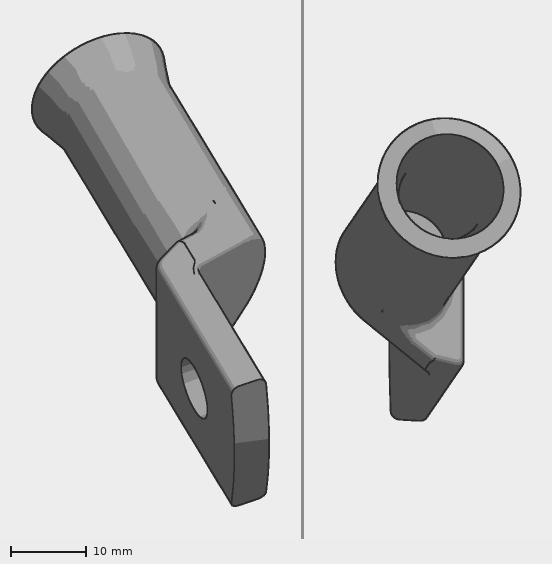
import cadquery as cq
import math

barrel_radius = 8.2
bore_radius = 5.85
bore_depth = 30.55
mouth_radius = 7.25
flare_radius = 9.7
rim_depth = 0.7
flare_end = 6.0
bore_flare_end = 5.4
flare_blend = 5.8
neck_start = 28.5

length = 67.9
palm_width = 23.8
palm_thickness = 5.1
palm_front = -10.5
palm_back = palm_front + palm_thickness
palm_end_sagitta = 1.2
hole_diameter = 8.5
hole_x = 54.9

slope = math.radians(60)
neck_back_x = 44.7
outer_bend_radius = 2.45
inner_bend_radius = 1.6
edge_radius = 1.2
barrel_blend_radius = 2.05
rim_split_y = 2.7

half_width = palm_width / 2
stock_reach = 17
palm_mid_x = (neck_back_x + length) / 2

side_corner_angle = math.atan2(half_width, palm_back)
side_corner_distance = math.hypot(half_width, palm_back)
tangent_angle = side_corner_angle - math.acos(barrel_radius / side_corner_distance)
shoulder_y = barrel_radius * math.cos(tangent_angle)
shoulder_z = barrel_radius * math.sin(tangent_angle)


def back_x(y):
    """X of the neck's sloping back plane at height y."""
    return neck_back_x - (y - palm_back) / math.tan(slope)


def front_x(y):
    """X of the neck's sloping front plane, one thickness ahead of the back."""
    return back_x(y) - palm_thickness / math.sin(slope)


def make_barrel():
    """Solid barrel, ending on a slope halfway through the neck's thickness."""
    top = barrel_radius
    half_neck = palm_thickness / 2 / math.sin(slope)
    keep = (
        cq.Workplane("XY")
        .polyline([
            (0, -top),
            (back_x(-top) - half_neck, -top),
            (back_x(top) - half_neck, top),
            (0, top),
        ])
        .close()
        .extrude(barrel_radius, both=True)
    )
    return cq.Workplane("YZ").circle(barrel_radius).extrude(length).intersect(keep)


def make_strap():
    """Bent strap forming neck and palm, oversize until trimmed."""
    return (
        cq.Workplane("XY")
        .polyline([
            (front_x(stock_reach), stock_reach),
            (front_x(palm_front), palm_front),
            (length, palm_front),
            (length, palm_back),
            (neck_back_x, palm_back),
            (back_x(stock_reach), stock_reach),
        ])
        .close()
        .extrude(stock_reach, both=True)
    )


def make_width_outline():
    """Barrel circle with tangent sides widening to the palm, extended along X from the neck start."""
    return (
        cq.Workplane("YZ", origin=(neck_start, 0, 0))
        .moveTo(palm_front, -half_width)
        .lineTo(palm_back, -half_width)
        .lineTo(shoulder_y, -shoulder_z)
        .threePointArc((barrel_radius, 0), (shoulder_y, shoulder_z))
        .lineTo(palm_back, half_width)
        .lineTo(palm_front, half_width)
        .close()
        .extrude(length)
    )


def make_end_outline():
    """Side outline with the arched palm end, extended along Y."""
    corner_x = length - palm_end_sagitta
    return (
        cq.Workplane("XZ")
        .moveTo(0, -half_width)
        .lineTo(corner_x, -half_width)
        .threePointArc((length, 0), (corner_x, half_width))
        .lineTo(0, half_width)
        .close()
        .extrude(length, both=True)
    )


def edge_near(shape, point):
    """The edge of a shape that passes closest to a point."""
    target = cq.Vertex.makeVertex(*point)
    return min(shape.Edges(), key=lambda edge: edge.distance(target))


def fillet_near(body, radius, *points):
    """Fillet the edges of a body that pass closest to the given points."""
    solid = body.val()
    return cq.Workplane(solid.fillet(radius, [edge_near(solid, point) for point in points]))


def both_sides(x, y, z):
    return [(x, y, -z), (x, y, z)]


def make_blank():
    """Barrel and strap blended together, then trimmed to the outlines."""
    blank = make_strap().union(make_barrel())
    blank = fillet_near(blank, outer_bend_radius, (front_x(palm_front), palm_front, 0))
    blank = fillet_near(blank, barrel_blend_radius, (front_x(-barrel_radius), -barrel_radius, 0))
    return blank.intersect(make_end_outline()).intersect(make_width_outline())


def round_front_rim(body):
    """Round the front rim, which fades out where the neck sides meet the barrel.

    The body is split first so that the rounding ends short of the vanishing tip.
    """
    cutter_size = 2 * length
    lower_space = cq.Workplane("XZ", origin=(0, rim_split_y, 0)).rect(cutter_size, length)
    lower_space = lower_space.extrude(length)
    lower = body.intersect(lower_space)
    upper = body.cut(lower_space)
    lower = fillet_near(
        lower,
        edge_radius,
        *both_sides(palm_mid_x, palm_front, half_width),
        *both_sides(front_x(palm_back), palm_back + edge_radius, half_width - edge_radius / 2),
    )
    return lower.union(upper)


def round_back_rim(body):
    """Round the palm's back edges, the back rim of neck and barrel, then the bend."""
    side_y = (palm_back + shoulder_y) / 2
    side_z = (half_width + shoulder_z) / 2
    body = fillet_near(body, edge_radius, *both_sides(palm_mid_x, palm_back, half_width))
    body = fillet_near(body, edge_radius, *both_sides(back_x(side_y), side_y, side_z))
    return fillet_near(body, inner_bend_radius, (neck_back_x, palm_back, 0))


def blended_corner(sketch, x, radius, slope_angle):
    """Draw to a cone-to-cylinder corner at (x, radius), rounding it with a tangent arc."""
    setback = flare_blend * math.tan(slope_angle / 2)
    start = (x - setback * math.cos(slope_angle), radius + setback * math.sin(slope_angle))
    end = (x + setback, radius)
    return sketch.lineTo(*start).tangentArcPoint(end, relative=False)


def revolve_about_axis(sketch):
    return sketch.close().revolve(360, (0, 0, 0), (1, 0, 0))


def make_mouth_end():
    """Plain front of the barrel, flared outward at the mouth with a conical rim."""
    angle = math.atan((flare_radius - barrel_radius) / (flare_end - rim_depth))
    sketch = cq.Workplane("XY").lineTo(0, mouth_radius).lineTo(rim_depth, flare_radius)
    sketch = blended_corner(sketch, flare_end, barrel_radius, angle)
    return revolve_about_axis(sketch.lineTo(neck_start, barrel_radius).lineTo(neck_start, 0))


def make_bore():
    """Blind bore with a funnel at the mouth."""
    angle = math.atan((mouth_radius - bore_radius) / bore_flare_end)
    sketch = cq.Workplane("XY").lineTo(0, mouth_radius)
    sketch = blended_corner(sketch, bore_flare_end, bore_radius, angle)
    return revolve_about_axis(sketch.lineTo(bore_depth, bore_radius).lineTo(bore_depth, 0))


def make_bolt_hole():
    drill = cq.Workplane("XZ").center(hole_x, 0).circle(hole_diameter / 2)
    return drill.extrude(length, both=True)


body = round_back_rim(round_front_rim(make_blank()))
body = body.union(make_mouth_end())
result = body.cut(make_bore()).cut(make_bolt_hole())